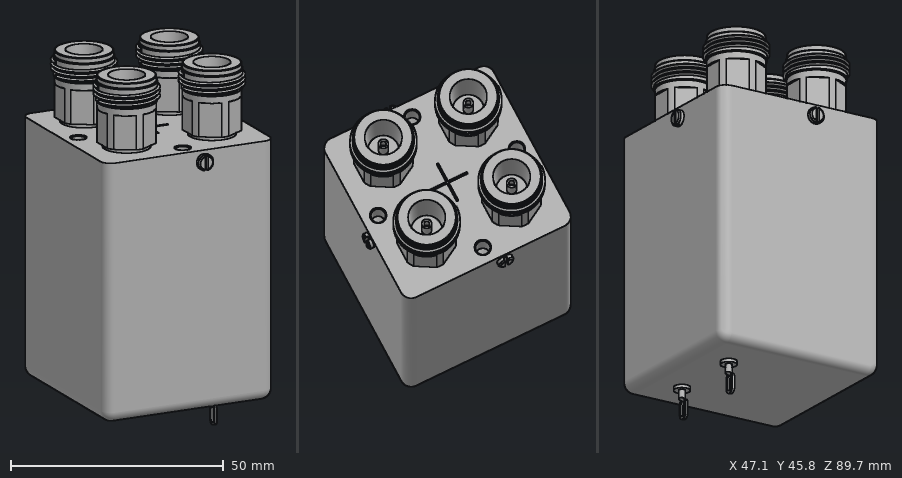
import cadquery as cq
import math

case_width = 44.5
case_height = 64.1
case_edge_radius = 2.7

connector_pitch = 22.4
connector_height = 17.6
neck_radius = 5.7
neck_height = 1.1
barrel_radius = 7.0
hex_across_flats = 12.9
hex_top = 9.5
thread_bottom = 11.2
thread_top = 16.3
thread_root_radius = 7.3
thread_tip_radius = 7.9
thread_lead = thread_root_radius - barrel_radius
thread_pitch = 1.1
thread_turns = 3
thread_start = 12.0
thread_overlap = 0.2
thread_base_fill = 0.96
rim_chamfer = 0.2
bore_mouth_radius = 4.4
bore_floor_radius = 3.7
bore_depth = 9.0
pin_radius = 1.2
pin_bore_radius = 0.6
pin_length = 4.5
pin_bore_depth = 2.7

mount_hole_offset = 18.3
mount_hole_radius = 1.7
mount_hole_depth = 5.4
mount_hole_chamfer = 0.3
drill_point_angle = 118

cross_length = 10.4
cross_width = 0.45
cross_depth = 0.2

screw_head_height = 1.3
screw_head_radius = 2.0
screw_head_chamfer = 0.4
screw_slot_width = 0.8
screw_slot_depth = 0.9
screw_below_lid = 2.9
screw_side_shift = 3.7

terminal_x = 10.1
terminal_y = 12.6
terminal_length = 8.0
terminal_flange_radius = 2.0
terminal_flange_height = 0.8
terminal_stem_radius = 0.8
terminal_stem_length = 2.9
terminal_root_radius = 0.7
lug_width = 2.7
lug_thickness = 0.6
lug_ring_width = 0.6


def make_case():
    return (
        cq.Workplane("XY")
        .box(case_width, case_width, case_height, centered=(True, True, False))
        .edges("|Z or <Z")
        .fillet(case_edge_radius)
    )


def make_thread_ridge():
    """Right-handed triangular ridge that ends on the -Y side of the connector."""
    root = thread_root_radius - thread_overlap
    half_base = thread_base_fill * thread_pitch / 2
    path = cq.Wire.makeHelix(thread_pitch, thread_turns * thread_pitch, root)
    ridge = (
        cq.Workplane("XZ")
        .polyline([(root, -half_base), (thread_tip_radius, 0), (root, half_base)])
        .close()
        .sweep(cq.Workplane(path), isFrenet=True)
    )
    return ridge.rotate((0, 0, 0), (0, 0, 1), -90).translate((0, 0, thread_start))


def make_connector():
    """Threaded coaxial jack standing on Z = 0."""
    shell = (
        cq.Workplane("XZ")
        .polyline([
            (0, 0),
            (neck_radius, 0),
            (neck_radius, neck_height),
            (barrel_radius, neck_height),
            (barrel_radius, thread_bottom),
            (thread_root_radius, thread_bottom + thread_lead),
            (thread_root_radius, thread_top - thread_lead),
            (barrel_radius, thread_top),
            (barrel_radius, connector_height - rim_chamfer),
            (barrel_radius - rim_chamfer, connector_height),
            (bore_mouth_radius, connector_height),
            (bore_floor_radius, connector_height - bore_depth),
            (0, connector_height - bore_depth),
        ])
        .close()
        .revolve(360, (0, 0, 0), (0, 1, 0))
    )

    hex_corner_diameter = hex_across_flats / math.cos(math.pi / 6)
    flats_cutter = (
        cq.Workplane("XY")
        .workplane(offset=neck_height)
        .circle(2 * barrel_radius)
        .polygon(6, hex_corner_diameter)
        .extrude(hex_top - neck_height)
    )

    pin = (
        cq.Workplane("XY")
        .workplane(offset=connector_height - bore_depth)
        .circle(pin_radius)
        .extrude(pin_length)
        .faces(">Z")
        .workplane()
        .hole(2 * pin_bore_radius, pin_bore_depth)
    )
    return shell.cut(flats_cutter).union(make_thread_ridge()).union(pin)


def make_mount_hole():
    """Blind drilled hole with a chamfered mouth at Z = 0 and a conical bottom."""
    point_depth = mount_hole_radius / math.tan(math.radians(drill_point_angle / 2))
    return (
        cq.Workplane("XZ")
        .polyline([
            (0, 0),
            (mount_hole_radius + mount_hole_chamfer, 0),
            (mount_hole_radius, -mount_hole_chamfer),
            (mount_hole_radius, -mount_hole_depth),
            (0, -mount_hole_depth - point_depth),
        ])
        .close()
        .revolve(360, (0, 0, 0), (0, 1, 0))
    )


def make_screw_head():
    """Head standing out from the +X side of the case, with a vertical slot."""
    head = (
        cq.Workplane("YZ")
        .circle(screw_head_radius)
        .extrude(screw_head_height)
        .faces(">X")
        .chamfer(screw_head_chamfer)
    )
    slot = cq.Workplane("XY").box(
        2 * screw_slot_depth, screw_slot_width, 2 * screw_head_radius
    ).translate((screw_head_height, 0, 0))
    return head.cut(slot).translate((case_width / 2, screw_side_shift, case_height - screw_below_lid))


def make_terminal():
    """Flanged stem hanging from Z = 0 that runs out into a flat eyelet lug."""
    flange = cq.Workplane("XY").circle(terminal_flange_radius).extrude(-terminal_flange_height)
    root_end = terminal_stem_length + terminal_root_radius
    stem = cq.Workplane("XY").circle(terminal_stem_radius).extrude(-root_end)

    lug_back = lug_thickness - terminal_stem_radius
    arc_shift = terminal_root_radius * (1 - math.sqrt(0.5))
    root_cutter = (
        cq.Workplane("YZ")
        .moveTo(lug_back, -root_end)
        .threePointArc(
            (lug_back + arc_shift, -terminal_stem_length - arc_shift),
            (lug_back + terminal_root_radius, -terminal_stem_length),
        )
        .lineTo(2 * terminal_stem_radius, -terminal_stem_length)
        .lineTo(2 * terminal_stem_radius, -root_end)
        .close()
        .extrude(terminal_stem_radius, both=True)
    )

    lug_length = terminal_length - terminal_stem_length
    eye_length = lug_length - 2 * lug_ring_width
    eye_width = lug_width - 2 * lug_ring_width
    lug_plane = cq.Workplane(
        "XZ", origin=(0, lug_back, -(terminal_stem_length + terminal_length) / 2)
    )
    lug = lug_plane.slot2D(lug_length, lug_width, 90).extrude(lug_thickness)
    eye = lug_plane.slot2D(eye_length, eye_width, 90).extrude(lug_thickness)
    return flange.union(stem.cut(root_cutter)).union(lug).cut(eye)


result = make_case()

cross_bar = cq.Workplane("XY").box(cross_length, cross_width, 2 * cross_depth)
for angle in (0, 90):
    result = result.cut(cross_bar.rotate((0, 0, 0), (0, 0, 1), angle).translate((0, 0, case_height)))

mount_hole = make_mount_hole().translate((mount_hole_offset, 0, case_height))
for angle in (0, 90, 180, 270):
    result = result.cut(mount_hole.rotate((0, 0, 0), (0, 0, 1), angle))

screw_head = make_screw_head()
for angle in (0, 90, 180):
    result = result.union(screw_head.rotate((0, 0, 0), (0, 0, 1), angle))

terminal = make_terminal()
for x in (-terminal_x, terminal_x):
    result = result.union(terminal.translate((x, terminal_y, 0)))

connector = make_connector()
for x in (-connector_pitch / 2, connector_pitch / 2):
    for y in (-connector_pitch / 2, connector_pitch / 2):
        result = result.union(connector.translate((x, y, case_height)))